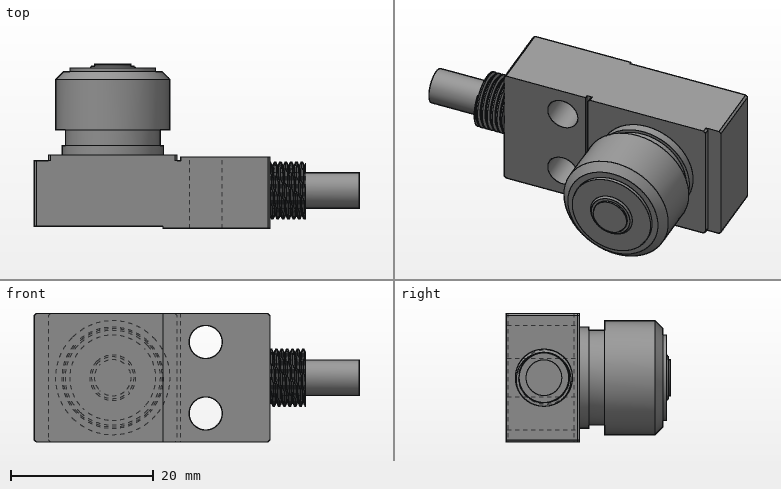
import cadquery as cq
length = 33.0
width = 18.0
mid_z = width / 2
corner_chamfer = 0.3
mount_depth = 10.0
sensor_depth = 9.5
front_relief = 0.3
seam_x = 18.0

pad_start = 2.0
pad_size = 18.0
pad_end = pad_start + pad_size
pad_top = 10.3
slot_width = 0.5
mount_start = pad_end + slot_width

hole_diameter = 4.6
hole_x = 24.0
hole_spacing = 10.0

head_x = pad_start + pad_size / 2
collar_radius = 7.1
collar_top = 11.6
neck_radius = 6.65
head_radius = 8.0
head_base = 13.8
head_top = 21.95
head_chamfer = 1.1
disc_radius = 6.0
disc_top = 22.45
rim_base_radius = 3.2
rim_top_radius = 2.95
rim_top = 22.72
button_radius = 2.55
button_top = 23.0

axis_y = 5.3
gland_length = 5.0
gland_end = length + gland_length
thread_radius = 4.0
thread_pitch = 0.75
thread_root_radius = 3.57
thread_root_width = 0.6
thread_crest_width = 0.2
thread_phase = -0.04
thread_embed = 0.1
thread_runout = 2 * thread_pitch
cable_radius = 2.5
cable_end = 45.5


def make_housing():
    """Stepped block with chamfered ends, a pad on the back and two through holes."""
    profile = [
        (0, front_relief),
        (seam_x, front_relief),
        (seam_x, 0),
        (length, 0),
        (length, mount_depth),
        (mount_start, mount_depth),
        (mount_start, sensor_depth),
        (0, sensor_depth),
    ]
    block = cq.Workplane("XY").polyline(profile).close().extrude(width)
    for end in ("<X", ">X"):
        block = block.faces(end).edges("|Y").chamfer(corner_chamfer)

    pad_height = pad_top - sensor_depth
    pad = (
        cq.Workplane("XY")
        .box(pad_size, pad_height, width, centered=False)
        .edges("|Y")
        .chamfer(corner_chamfer)
        .translate((pad_start, sensor_depth, 0))
    )

    holes = (
        cq.Workplane("XZ")
        .pushPoints([(hole_x, mid_z - hole_spacing / 2), (hole_x, mid_z + hole_spacing / 2)])
        .circle(hole_diameter / 2)
        .extrude(-mount_depth)
    )
    return block.union(pad).cut(holes)


def make_head():
    """Turned head: collar, neck, chamfered cap, disc, bevelled rim and button."""
    half_profile = [
        (0, sensor_depth),
        (collar_radius, sensor_depth),
        (collar_radius, collar_top),
        (neck_radius, collar_top),
        (neck_radius, head_base),
        (head_radius, head_base),
        (head_radius, head_top - head_chamfer),
        (head_radius - head_chamfer, head_top),
        (disc_radius, head_top),
        (disc_radius, disc_top),
        (rim_base_radius, disc_top),
        (rim_top_radius, rim_top),
        (button_radius, rim_top),
        (button_radius, button_top),
        (0, button_top),
    ]
    turned = cq.Workplane("XY").polyline(half_profile).close().revolve(360, (0, 0, 0), (0, 1, 0))
    return turned.translate((head_x, 0, mid_z))


def x_cylinder(radius, start, end):
    """Cylinder on the gland axis between two X positions."""
    return cq.Workplane("YZ", origin=(start, axis_y, mid_z)).circle(radius).extrude(end - start)


def make_thread_ridge():
    """Right-handed helical ridge on the gland, trimmed to the gland's length."""
    start = length - thread_runout + thread_phase
    height = gland_length + 2 * thread_runout
    inner_radius = thread_root_radius - thread_embed
    section = [
        (inner_radius, -thread_root_width / 2),
        (thread_root_radius, -thread_root_width / 2),
        (thread_radius, -thread_crest_width / 2),
        (thread_radius, thread_crest_width / 2),
        (thread_root_radius, thread_root_width / 2),
        (inner_radius, thread_root_width / 2),
    ]
    helix = cq.Wire.makeHelix(thread_pitch, height, thread_root_radius)
    ridge = cq.Workplane("XZ").polyline(section).close().sweep(cq.Workplane(helix), isFrenet=True)
    third_turn = 360 / 3
    ridge = ridge.rotate((0, 0, 0), (1, 1, 1), third_turn).translate((start, axis_y, mid_z))
    return ridge.intersect(x_cylinder(thread_radius + thread_embed, length, gland_end))


def make_gland_and_cable():
    """Threaded gland core with its helical ridge and the plain cable beyond it."""
    core = x_cylinder(thread_root_radius, length, gland_end)
    cable = x_cylinder(cable_radius, length, cable_end)
    return core.union(make_thread_ridge()).union(cable)


result = make_housing().union(make_head()).union(make_gland_and_cable())